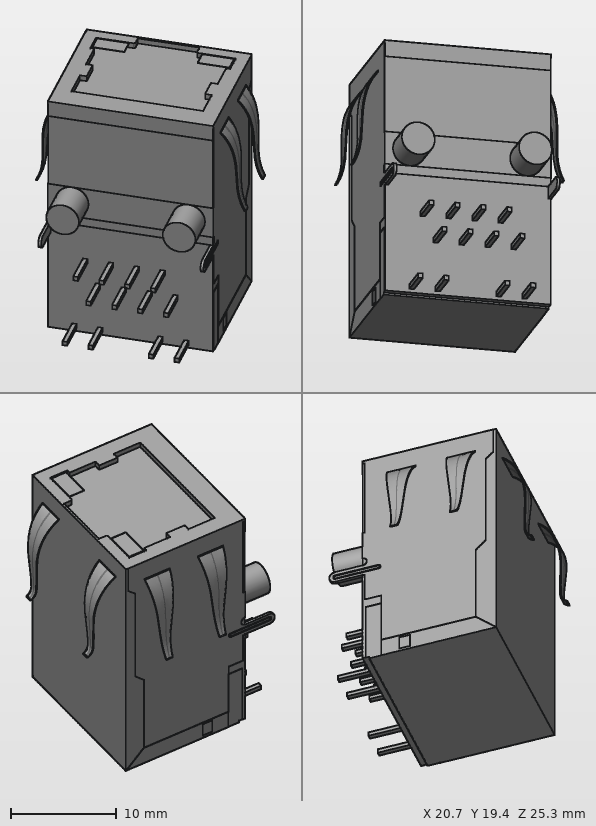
import cadquery as cq


WIDTH = 16.27
DEPTH = 13.46
HEIGHT = 25.3
HALF_WIDTH = WIDTH / 2
BOARD_STANDOFF = 3.35
FOOT_RAISE = 0.2
FOOT_DEPTH = 0.65

SOCKET_DEPTH = 0.55
SOCKET_HALF = 6.48
SOCKET_FRONT = 2.36
EAR_HALF = 6.87
EAR_FRONT = 10.33
EAR_BACK = 12.26
LATCH_HALF = 3.03
LATCH_BACK = 13.2
LATCH_ROUNDING = 0.2
KEY_HALF = 5.82
KEY_FRONT = 5.34
KEY_BACK = 7.41

LENS_INNER = 3.6
LENS_FRONT = 10.55
LENS_THICKNESS = 0.05
LENS_SIDE_GAP = 0.12
LENS_BACK_GAP = 0.05

LAP = 0.02

REAR_LAP_TOP = 13.2
REAR_LAP_MIDDLE = 12.42
REAR_LAP_BOTTOM = 11.42
UPPER_JOG = (22.46, 21.77)
LOWER_JOG = (11.4, 10.47)
BOTTOM_LAP_HEIGHT = 1.95
SKIRT_DEPTH = 1.88
SKIRT_TOP = 7.6
SKIRT_PANEL_TOP = 6.63
SKIRT_PANEL_FRONT = 0.32
SKIRT_STRIP_TOP = 10.75
FRONT_STRIP = 0.25
FRONT_STRIP_TOP = 24.97
WINDOW = (3.7, 4.78, 0.3, 1.72)

TOP_BAND = 23.67
PEG_BAND_TOP = 16.14
PEG_BAND_BOTTOM = 12.9

PEG_RADIUS = 1.61
PEG_HALF_SPACING = 5.73
PEG_HEIGHT = (PEG_BAND_TOP + PEG_BAND_BOTTOM) / 2

PIN_SIZE = 0.45
PIN_PITCH = 2.54
PINS_PER_ROW = 4
UPPER_ROW_HEIGHT = 8.18
LOWER_ROW_HEIGHT = UPPER_ROW_HEIGHT - PIN_PITCH
UPPER_ROW_START = -1.75 * PIN_PITCH
LOWER_ROW_START = UPPER_ROW_START + PIN_PITCH / 2
LENS_PIN_HEIGHT = 0.78
LENS_PIN_INNER = 2.97

LEG_RADIUS = 0.61
LEG_THICKNESS = 0.3
LEG_HEIGHT = 11.4
LEG_ROOT = 0.5
GROOVE_RADIUS = 0.2
GROOVE_DEPTH = 0.1
GROOVE_INNER = 1.8
GROOVE_OUTER = -2.95
RELIEF_RADIUS = (PEG_BAND_BOTTOM - LEG_HEIGHT - LEG_RADIUS) / 2

SPRING_THICKNESS = 0.13
SPRING_TOP = 23.12
SPRING_ROOT_HALF = 1.43
SPRING_TIP_HALF = 0.36
SPRING_MIDDLE_HALF = 0.72
SPRING_MIDDLE_HEIGHT = 18.15
SIDE_SPRING_BEND = [(0.97, 21.55), (1.4, 19.6), (1.53, 16.3), (1.72, 15.24), (2.195, 14.05)]
REAR_SPRING_BEND = [(1.4, 21.5), (2.03, 19.4), (1.95, 14.6), (2.08, 13.8), (2.56, 13.35)]
SIDE_SPRING_PLACES = (3.94, 9.95)
REAR_SPRING_PLACES = (-4.92, 4.92)


def box(x_from, x_to, y_from, y_to, z_from, z_to):
    """Block between the given limits."""
    size = (x_to - x_from, y_to - y_from, z_to - z_from)
    return cq.Workplane("XY").box(*size, centered=False).translate((x_from, y_from, z_from))


def both_sides(shape):
    """The shape together with its mirror image across X = 0."""
    return shape.union(shape.mirror("YZ"))


def housing_block():
    block = box(-HALF_WIDTH, HALF_WIDTH, 0, DEPTH, 0, HEIGHT)
    return block.cut(box(-HALF_WIDTH, HALF_WIDTH, 0, FOOT_DEPTH, 0, FOOT_RAISE))


def socket():
    """Recess in the top: main opening, lens ears, latch slot, less the two side keys."""
    floor = HEIGHT - SOCKET_DEPTH
    opening = box(-SOCKET_HALF, SOCKET_HALF, SOCKET_FRONT, EAR_BACK, floor, HEIGHT)
    ears = box(-EAR_HALF, EAR_HALF, EAR_FRONT, EAR_BACK, floor, HEIGHT)
    latch = box(-LATCH_HALF, LATCH_HALF, EAR_BACK, LATCH_BACK, floor, HEIGHT)
    key = box(KEY_HALF, SOCKET_HALF, KEY_FRONT, KEY_BACK, floor, HEIGHT)
    recess = opening.union(ears).union(latch)
    latch_corners = cq.selectors.BoxSelector(
        (-LATCH_HALF - LATCH_ROUNDING, EAR_BACK - LATCH_ROUNDING, floor),
        (LATCH_HALF + LATCH_ROUNDING, EAR_BACK + LATCH_ROUNDING, HEIGHT),
    )
    recess = recess.edges("|Z").edges(latch_corners).fillet(LATCH_ROUNDING)
    return recess.cut(both_sides(key))


def side_recess(outline, laps):
    """Shallow recess of a (Y, Z) outline in both side faces."""
    depth = laps * LAP
    recess = cq.Workplane("YZ", origin=(HALF_WIDTH - depth, 0, 0)).polyline(outline).close()
    return both_sides(recess.extrude(depth))


def side_rectangle(y_from, y_to, z_from, z_to, laps):
    return side_recess([(y_from, z_from), (y_to, z_from), (y_to, z_to), (y_from, z_to)], laps)


def sheet_laps():
    """Steps in the side faces where the folded sheets lap each other."""
    rear = side_recess(
        [
            (DEPTH, HEIGHT),
            (REAR_LAP_TOP, HEIGHT),
            (REAR_LAP_TOP, UPPER_JOG[0]),
            (REAR_LAP_MIDDLE, UPPER_JOG[1]),
            (REAR_LAP_MIDDLE, LOWER_JOG[0]),
            (REAR_LAP_BOTTOM, LOWER_JOG[1]),
            (REAR_LAP_BOTTOM, BOTTOM_LAP_HEIGHT),
            (DEPTH, 0),
        ],
        1,
    )
    bottom = side_recess(
        [
            (DEPTH, 0),
            (REAR_LAP_BOTTOM, BOTTOM_LAP_HEIGHT),
            (SKIRT_DEPTH, BOTTOM_LAP_HEIGHT),
            (SKIRT_DEPTH, 0),
        ],
        2,
    )
    relief = cq.Workplane("YZ", origin=(HALF_WIDTH - LAP, 0, 0))
    relief = relief.center(0, PEG_BAND_BOTTOM - RELIEF_RADIUS).circle(RELIEF_RADIUS).extrude(LAP)
    return [
        rear,
        bottom,
        both_sides(relief),
        side_rectangle(*WINDOW, 3),
        side_rectangle(0, FRONT_STRIP, PEG_BAND_TOP, FRONT_STRIP_TOP, 1),
        side_rectangle(0, FRONT_STRIP, SKIRT_TOP, SKIRT_STRIP_TOP, 1),
        side_rectangle(0, SKIRT_DEPTH, 0, SKIRT_TOP, 1),
        side_rectangle(SKIRT_PANEL_FRONT, SKIRT_DEPTH, 0, SKIRT_PANEL_TOP, 3),
    ]


def front_bands():
    """Shallow bands across the board face, above and below the peg band."""
    return [
        box(-HALF_WIDTH, HALF_WIDTH, 0, LAP, PEG_BAND_TOP, TOP_BAND),
        box(-HALF_WIDTH, HALF_WIDTH, 0, LAP, LEG_HEIGHT + LEG_RADIUS, PEG_BAND_BOTTOM),
    ]


def pegs():
    places = [(-PEG_HALF_SPACING, PEG_HEIGHT), (PEG_HALF_SPACING, PEG_HEIGHT)]
    return cq.Workplane("XZ").pushPoints(places).circle(PEG_RADIUS).extrude(BOARD_STANDOFF)


def pins():
    """Two staggered rows of contacts and two pairs of lens pins."""
    places = []
    for index in range(PINS_PER_ROW):
        places.append((UPPER_ROW_START + index * PIN_PITCH, UPPER_ROW_HEIGHT))
        places.append((LOWER_ROW_START + index * PIN_PITCH, LOWER_ROW_HEIGHT))
    for side in (-1, 1):
        places.append((side * LENS_PIN_INNER, LENS_PIN_HEIGHT))
        places.append((side * (LENS_PIN_INNER + PIN_PITCH), LENS_PIN_HEIGHT))
    return cq.Workplane("XZ").pushPoints(places).rect(PIN_SIZE, PIN_SIZE).extrude(BOARD_STANDOFF)


def legs():
    """Round-ended shield legs, flush with the side faces."""
    round_centre = LEG_RADIUS - BOARD_STANDOFF
    leg = (
        cq.Workplane("YZ", origin=(HALF_WIDTH - LEG_THICKNESS, 0, 0))
        .moveTo(LEG_ROOT, LEG_HEIGHT + LEG_RADIUS)
        .lineTo(round_centre, LEG_HEIGHT + LEG_RADIUS)
        .threePointArc((-BOARD_STANDOFF, LEG_HEIGHT), (round_centre, LEG_HEIGHT - LEG_RADIUS))
        .lineTo(LEG_ROOT, LEG_HEIGHT - LEG_RADIUS)
        .close()
        .extrude(LEG_THICKNESS)
    )
    return both_sides(leg)


def leg_grooves():
    """Stiffening grooves running along the legs into the side faces."""
    groove = (
        cq.Workplane("YZ", origin=(HALF_WIDTH - GROOVE_DEPTH, 0, 0))
        .center((GROOVE_INNER + GROOVE_OUTER) / 2, LEG_HEIGHT)
        .slot2D(GROOVE_INNER - GROOVE_OUTER, 2 * GROOVE_RADIUS)
        .extrude(GROOVE_DEPTH)
    )
    return both_sides(groove)


def spring(bend):
    """Tapered bent strip reaching toward +X from the plane X = 0, centred on Y = 0."""
    outer_face = [(0, SPRING_TOP), *bend]
    inner_face = [(reach - SPRING_THICKNESS, height) for reach, height in reversed(outer_face)]
    tip = bend[-1]
    strip = (
        cq.Workplane("XZ")
        .moveTo(*outer_face[0])
        .spline(outer_face[1:], includeCurrent=True)
        .lineTo(*inner_face[0])
        .spline(inner_face[1:], includeCurrent=True)
        .close()
        .extrude(SPRING_ROOT_HALF, both=True)
    )
    tip_height = tip[1]
    taper = (
        cq.Workplane("YZ", origin=(-SPRING_THICKNESS, 0, 0))
        .moveTo(-SPRING_ROOT_HALF, SPRING_TOP)
        .threePointArc((-SPRING_MIDDLE_HALF, SPRING_MIDDLE_HEIGHT), (-SPRING_TIP_HALF, tip_height))
        .lineTo(SPRING_TIP_HALF, tip_height)
        .threePointArc((SPRING_MIDDLE_HALF, SPRING_MIDDLE_HEIGHT), (SPRING_ROOT_HALF, SPRING_TOP))
        .close()
        .extrude(tip[0] + SPRING_THICKNESS)
    )
    return strip.intersect(taper)


def springs():
    side_spring = spring(SIDE_SPRING_BEND)
    rear_spring = spring(REAR_SPRING_BEND).rotate((0, 0, 0), (0, 0, 1), 90)
    placed = [both_sides(side_spring.translate((HALF_WIDTH, y, 0))) for y in SIDE_SPRING_PLACES]
    placed += [rear_spring.translate((x, DEPTH, 0)) for x in REAR_SPRING_PLACES]
    return placed


def make_jack():
    """Shielded housing with its pegs, pins, legs and springs."""
    jack = housing_block().cut(socket())
    for recess in sheet_laps() + front_bands():
        jack = jack.cut(recess)
    for part in [pegs(), pins(), legs()] + springs():
        jack = jack.union(part)
    return jack.cut(leg_grooves())


def make_lens(side):
    """Thin indicator lens flush with the top, on the given side (-1 or 1)."""
    edges = sorted((side * LENS_INNER, side * (EAR_HALF - LENS_SIDE_GAP)))
    return box(*edges, LENS_FRONT, EAR_BACK - LENS_BACK_GAP, HEIGHT - LENS_THICKNESS, HEIGHT)


jack = make_jack()
lenses = [make_lens(side) for side in (-1, 1)]

result = cq.Compound.makeCompound([jack.solids().val(), *[lens.val() for lens in lenses]])